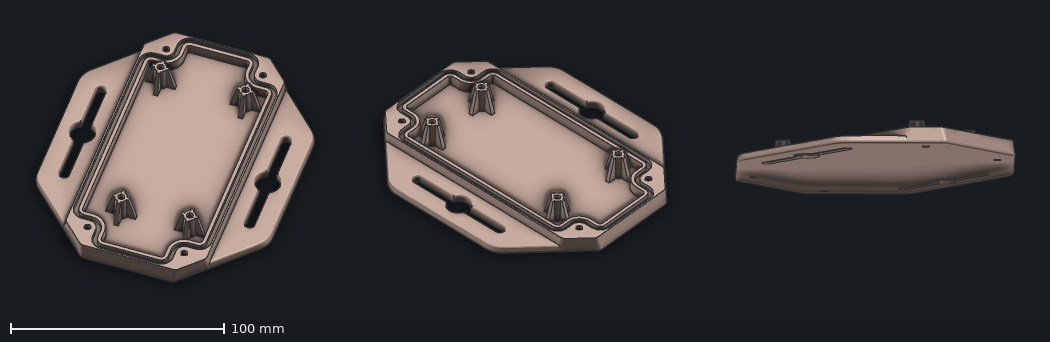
import cadquery as cq
import math

HALF_X = 58.7
HALF_Y = 69.3
DIAGONAL_SUM = 92.4
EAR_CORNER_RADIUS = 12.0
BOX_CORNER_RADIUS = 2.8

EDGE_HEIGHT = 1.2
FLOOR_HEIGHT = 2.9
EAR_HEIGHT = 3.9
BOX_HEIGHT = 8.0
POST_HEIGHT = 15.5

SIDE_DRAFT = math.tan(math.radians(15))
BOX_DIAGONAL_DRAFT = math.tan(math.radians(7))
BOTTOM_EDGE_RADIUS = 1.1
EAR_EDGE_RADIUS = 1.0

BOX_BASE_HALF_X = 36.8

SCREW_X = 24.0
SCREW_Y = 56.6
SCREW_DIAMETER = 3.2
BOSS_RADIUS = 4.0

GROOVE_HALF_X = 34.1
GROOVE_HALF_Y = 66.7
GROOVE_CORNER_RADIUS = 6.0
GROOVE_WIDTH = 2.5
GROOVE_DEPTH = 2.5
RIM_WIDTH = 1.8
POCKET_DRAFT_ANGLE = 5

SLOT_X = 46.0
SLOT_WIDTH = 4.7
SLOT_LENGTH = 57.1
SLOT_HEAD_DIAMETER = 11.9
SLOT_EDGE_RADIUS = 1.1

POST_CENTERS = [(-21.1, 40.0), (21.1, 40.0), (-13.0, -40.0), (21.1, -40.0)]
CORE_TOP_DIAMETER = 6.0
CORE_FLOOR_DIAMETER = 6.5
ARM_TOP_REACH = 3.9
ARM_TOP_WIDTH = 1.7
ARM_FLOOR_REACH = 7.5
ARM_FLOOR_WIDTH = 2.2
POST_HOLE_TOP_DIAMETER = 3.2
POST_HOLE_END_DIAMETER = 2.4
POST_HOLE_DEPTH = 9.7


def octagon(half_x, half_y, diagonal_sum, side_corner_radius):
    """Octagon with its corners on the +X and -X sides and on the two ends rounded."""
    side_y = diagonal_sum - half_x
    end_x = diagonal_sum - half_y
    right_half = [(end_x, -half_y), (half_x, -side_y), (half_x, side_y), (end_x, half_y)]
    left_half = [(-x, -y) for x, y in right_half]
    points = right_half + left_half
    outline = cq.Sketch().polygon(points + points[:1])
    outline = outline.vertices(">X or <X").fillet(side_corner_radius).reset()
    return outline.vertices(">Y or <Y").fillet(BOX_CORNER_RADIUS).reset()


def drafted_octagon(base_half_x, side_corner_radius, diagonal_draft, top_height):
    """Octagonal slab whose sides lean inward from the upright edge up to top_height."""
    rise = top_height - EDGE_HEIGHT
    base = octagon(base_half_x, HALF_Y, DIAGONAL_SUM, side_corner_radius)
    top = octagon(
        base_half_x - rise * SIDE_DRAFT,
        HALF_Y - rise * SIDE_DRAFT,
        DIAGONAL_SUM - rise * diagonal_draft * math.sqrt(2),
        side_corner_radius,
    )
    start = cq.Workplane(origin=(0, 0, EDGE_HEIGHT))
    return start.placeSketch(base, top.moved(cq.Location(cq.Vector(0, 0, rise)))).loft()


def upright_edge():
    outline = octagon(HALF_X, HALF_Y, DIAGONAL_SUM, EAR_CORNER_RADIUS)
    slab = cq.Workplane().placeSketch(outline).extrude(EDGE_HEIGHT)
    return slab.faces("<Z").edges().fillet(BOTTOM_EDGE_RADIUS)


def keyhole_slots():
    """Straight cutter for both slots, each with a round head at mid length."""
    centers = [(-SLOT_X, 0), (SLOT_X, 0)]
    slots = cq.Workplane().pushPoints(centers).slot2D(SLOT_LENGTH, SLOT_WIDTH, 90).extrude(EAR_HEIGHT)
    heads = cq.Workplane().pushPoints(centers).circle(SLOT_HEAD_DIAMETER / 2).extrude(EAR_HEIGHT)
    return slots.union(heads)


def ears():
    plate = drafted_octagon(HALF_X, EAR_CORNER_RADIUS, SIDE_DRAFT, EAR_HEIGHT)
    plate = plate.faces(">Z").edges().fillet(EAR_EDGE_RADIUS)
    plate = plate.union(upright_edge()).cut(keyhole_slots())
    slot_rims = plate.faces(">Z").val().innerWires()
    slot_edges = [edge for rim in slot_rims for edge in rim.Edges()]
    return plate.newObject(slot_edges).fillet(SLOT_EDGE_RADIUS)


def cavity(inset, depth, draft_angle=0):
    """Solid from the box top down, inset from the groove outline and stepping around the bosses."""
    half_x = GROOVE_HALF_X - inset
    half_y = GROOVE_HALF_Y - inset
    boss_radius = BOSS_RADIUS + inset
    step_x = SCREW_X - boss_radius
    step_y = SCREW_Y - boss_radius
    outline = cq.Sketch().rect(2 * half_x, 2 * step_y).rect(2 * step_x, 2 * half_y).clean()
    reach_x = (step_x + half_x) / 2
    reach_y = (step_y + half_y) / 2
    inner_corners = cq.selectors.BoxSelector((-reach_x, -reach_y, -1.4), (reach_x, reach_y, 1.4))
    outline = outline.vertices(inner_corners).fillet(boss_radius).reset()
    outline = outline.vertices(">X or <X or >Y or <Y").fillet(GROOVE_CORNER_RADIUS - inset).reset()
    top = cq.Workplane(origin=(0, 0, BOX_HEIGHT))
    return top.placeSketch(outline).extrude(-depth, taper=draft_angle)


def seal_groove():
    return cavity(0, GROOVE_DEPTH).cut(cavity(GROOVE_WIDTH, GROOVE_DEPTH))


def pocket():
    return cavity(GROOVE_WIDTH + RIM_WIDTH, BOX_HEIGHT - FLOOR_HEIGHT, POCKET_DRAFT_ANGLE)


def screw_holes():
    corners = cq.Workplane().rect(2 * SCREW_X, 2 * SCREW_Y, forConstruction=True).vertices()
    return corners.circle(SCREW_DIAMETER / 2).extrude(BOX_HEIGHT)


def post(center):
    x, y = center
    rise = POST_HEIGHT - FLOOR_HEIGHT
    base = cq.Workplane(origin=(x, y, FLOOR_HEIGHT))
    top = cq.Workplane(origin=(x, y, POST_HEIGHT))
    core = base.circle(CORE_FLOOR_DIAMETER / 2).workplane(offset=rise).circle(CORE_TOP_DIAMETER / 2).loft()
    arm_pair = (
        base.rect(2 * ARM_FLOOR_REACH, ARM_FLOOR_WIDTH)
        .workplane(offset=rise)
        .rect(2 * ARM_TOP_REACH, ARM_TOP_WIDTH)
        .loft()
    )
    crossing_pair = arm_pair.rotate((x, y, 0), (x, y, 1), 90)
    hole = (
        top.circle(POST_HOLE_TOP_DIAMETER / 2)
        .workplane(offset=-POST_HOLE_DEPTH)
        .circle(POST_HOLE_END_DIAMETER / 2)
        .loft()
    )
    return core.union(arm_pair).union(crossing_pair).cut(hole)


raised_box = drafted_octagon(BOX_BASE_HALF_X, BOX_CORNER_RADIUS, BOX_DIAGONAL_DRAFT, BOX_HEIGHT)
result = ears().union(raised_box).cut(seal_groove()).cut(pocket()).cut(screw_holes())
for post_center in POST_CENTERS:
    result = result.union(post(post_center))